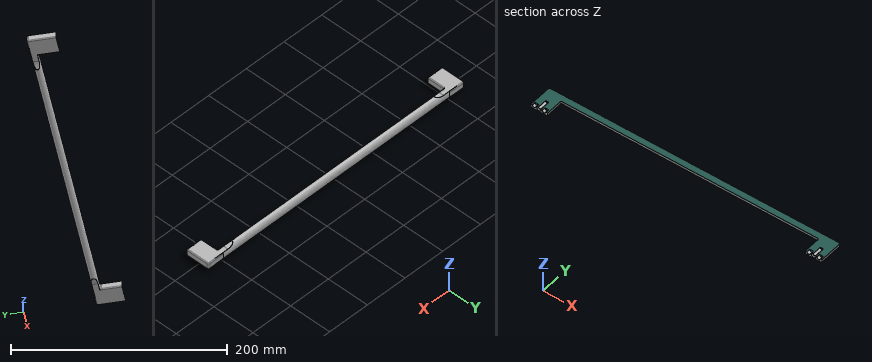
import cadquery as cq
import math

length = 340.0
depth = 28.0

grip_height = 12.0
grip_depth = 8.0
back_y = depth / 2
grip_center_y = back_y - grip_depth / 2

foot_width = 20.0
foot_height = 8.0
corner_radius = 2.0
foot_center_x = (length - foot_width) / 2
side_bulge = 0.25
edge_radius = 1.0
inner_corner_radius = 1.0

flat_length = 27.0
runout_radius = 20.0
runout_rise = (grip_height - foot_height) / 2
runout_length = math.sqrt(runout_radius**2 - (runout_radius - runout_rise) ** 2)

mount_end_distance = 9.9
mount_center_x = length / 2 - mount_end_distance
screw_hole_diameter = 3.0
screw_hole_depth = 12.0
countersink_diameter = 5.5
countersink_depth = (countersink_diameter - screw_hole_diameter) / 2
locating_hole_diameter = 3.8
locating_hole_depth = 4.0
locating_hole_offset = 5.8


def make_runout_cutter():
    """Block above the +X neck whose underside is the flat and its concave run-out."""
    flat_z = foot_height / 2
    top_z = grip_height
    flat_end = length / 2 - flat_length
    runout_end = flat_end - runout_length
    runout_angle = math.asin(runout_length / runout_radius) / 2
    runout_middle = (
        flat_end - runout_radius * math.sin(runout_angle),
        flat_z + runout_radius * (1 - math.cos(runout_angle)),
    )
    return (
        cq.Workplane("XZ", origin=(0, depth, 0))
        .moveTo(length, flat_z)
        .lineTo(flat_end, flat_z)
        .threePointArc(runout_middle, (runout_end, grip_height / 2))
        .lineTo(runout_end, top_z)
        .lineTo(length, top_z)
        .close()
        .extrude(2 * depth)
    )


def make_grip():
    """Elliptical rod flattened above and below at both ends."""
    rod_length = length - foot_width
    rod = (
        cq.Workplane("YZ", origin=(-rod_length / 2, grip_center_y, 0))
        .ellipse(grip_depth / 2, grip_height / 2)
        .extrude(rod_length)
    )
    cutter = make_runout_cutter()
    for end_cutter in (cutter, cutter.mirror("YZ")):
        rod = rod.cut(end_cutter).cut(end_cutter.mirror("XY"))
    return rod


def bulged_bar(plane, width, bar_length):
    """Bar of foot height, centred on the origin, with both narrow sides bulged."""
    half_flat = width / 2 - side_bulge
    half_height = foot_height / 2
    return (
        cq.Workplane(plane)
        .moveTo(-half_flat, half_height)
        .lineTo(half_flat, half_height)
        .threePointArc((width / 2, 0), (half_flat, -half_height))
        .lineTo(-half_flat, -half_height)
        .threePointArc((-width / 2, 0), (-half_flat, half_height))
        .close()
        .extrude(bar_length / 2, both=True)
    )


def make_foot():
    """Foot at the +X end: bulged sides and back, rounded outer corner, plain front."""
    leg = bulged_bar("XZ", foot_width, depth).translate((foot_center_x, 0, 0))
    back_limit = bulged_bar("YZ", 2 * depth, 2 * length).translate((0, back_y - depth, 0))
    foot = leg.intersect(back_limit)
    outer_corner = foot.edges(cq.selectors.NearestToPointSelector((length / 2, back_y, 0)))
    foot = outer_corner.fillet(corner_radius)
    return foot.faces(">Z or <Z").edges("not <Y").fillet(edge_radius)


def cut_mounting_holes(foot):
    """Cut the countersunk screw hole and the two locating holes into the front face."""
    front = cq.Workplane("XZ", origin=(mount_center_x, -depth / 2, 0))
    screw_hole = front.circle(screw_hole_diameter / 2).extrude(-screw_hole_depth)
    countersink = (
        front.circle(countersink_diameter / 2)
        .workplane(offset=-countersink_depth)
        .circle(screw_hole_diameter / 2)
        .loft()
    )
    locating_holes = (
        front.pushPoints([(-locating_hole_offset, 0), (locating_hole_offset, 0)])
        .circle(locating_hole_diameter / 2)
        .extrude(-locating_hole_depth)
    )
    return foot.cut(screw_hole).cut(countersink).cut(locating_holes)


def round_inner_corner(handle, side):
    """Blend the inner face of one foot (side is +1 or -1) into the front of its neck."""
    corner = (side * (length / 2 - foot_width), back_y - grip_depth, 0)
    edge = handle.edges(cq.selectors.NearestToPointSelector(corner))
    return edge.fillet(inner_corner_radius)


foot = cut_mounting_holes(make_foot())
handle = make_grip().union(foot).union(foot.mirror("YZ"))
for side in (1, -1):
    handle = round_inner_corner(handle, side)
result = cq.Workplane(handle.solids().val())